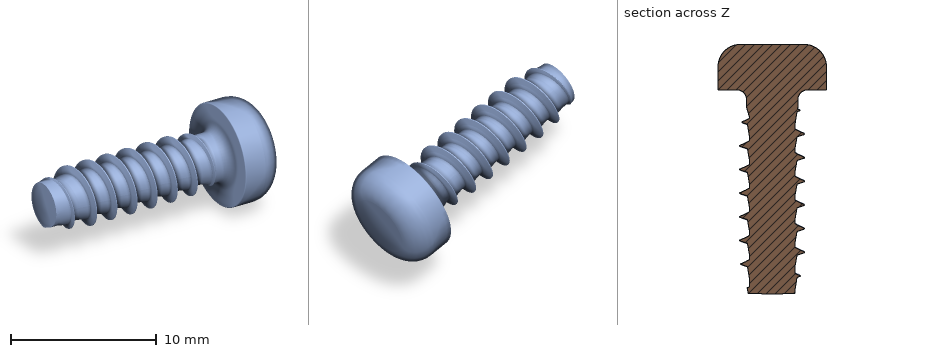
import cadquery as cq
import math


head_radius = 3.75
head_height = 3.16
dome_radius = 1.56
rim_fillet = 0.07

total_length = 17.19
neck_radius = 1.79
neck_fillet = 0.62
neck_end = 1.15
core_radius = 1.58
core_start = 1.85
tip_cone_radius = 1.53
tip_cone_height = 0.05
tip_start = total_length - head_height - tip_cone_height

thread_start = 0.98
pitch = 11.38 / 7
crest_radius = 2.25
crest_half_width = 0.03
knee_radius = 1.85
ridge_half_width = 0.2
head_flank_foot = 0.36
ramp_radius = 1.72
ramp_end = 1.07
buried_radius = 1.38
radius_tolerance = 0.0002
start_crest_radius = 1.87
faded_crest_radius = ramp_radius + 0.02
full_depth_start = 1.25
full_depth_end = 6.6
faded_turn = 7.75
last_turn = 8.25
crest_stations = (
    [(0, start_crest_radius)]
    + [(full_depth_start / 2, (start_crest_radius + crest_radius) / 2)]
    + [(full_depth_start + turn, crest_radius) for turn in range(int(full_depth_end))]
    + [(full_depth_end, crest_radius)]
    + [(faded_turn, faded_crest_radius), (last_turn, faded_crest_radius)]
)


def make_head():
    blank = cq.Workplane("XY").circle(head_radius).extrude(-head_height)
    return blank.faces("<Z").edges().fillet(dome_radius).faces(">Z").edges().fillet(rim_fillet)


def make_core():
    """Neck with its underhead fillet, tapering into the cylindrical core."""
    neck_arc_middle = neck_fillet * (1 - math.sqrt(0.5))
    return (
        cq.Workplane("XZ")
        .moveTo(0, -head_height / 2)
        .lineTo(neck_radius + neck_fillet, -head_height / 2)
        .lineTo(neck_radius + neck_fillet, 0)
        .threePointArc(
            (neck_radius + neck_arc_middle, neck_arc_middle),
            (neck_radius, neck_fillet),
        )
        .lineTo(neck_radius, neck_end)
        .lineTo(core_radius, core_start)
        .lineTo(core_radius, tip_start)
        .lineTo(0, tip_start)
        .close()
        .revolve(360, (0, 0, 0), (0, 1, 0))
    )


def make_tip_cone():
    """Very flat point on the end of the core."""
    cone = cq.Solid.makeCone(tip_cone_radius, 0, tip_cone_height, cq.Vector(0, 0, tip_start))
    return cq.Workplane(cone)


def thread_section(turns, crest):
    """Corners (radius, height) of the thread's axial section, shrunk to a given crest radius."""
    middle = thread_start + turns * pitch
    scale = (crest - core_radius) / (crest_radius - core_radius)
    knee = core_radius + (knee_radius - core_radius) * scale
    return [
        (buried_radius, middle - head_flank_foot),
        (core_radius - 0.02, middle - head_flank_foot * scale),
        (knee, middle - ridge_half_width * scale),
        (crest, middle - crest_half_width * scale),
        (crest, middle + crest_half_width * scale),
        (ramp_radius, middle + ridge_half_width * scale),
        (core_radius - 0.02, middle + ramp_end),
        (buried_radius, middle + ramp_end),
    ]


def corner_helix(start, end, first_turn, last_turn):
    """Helix between two section corners; conical where the radius changes."""
    growth = end[0] - start[0]
    rise = end[1] - start[1]
    turns = last_turn - first_turn
    if abs(growth) < radius_tolerance:
        helix = cq.Wire.makeHelix(rise / turns, rise, start[0])
    else:
        slant = math.hypot(growth, rise)
        taper = math.degrees(math.atan2(growth, rise))
        helix = cq.Wire.makeHelix(slant / turns, slant, start[0], angle=taper)
    turned = helix.rotate(cq.Vector(0, 0, 0), cq.Vector(0, 0, 1), 360 * first_turn)
    return turned.translate(cq.Vector(0, 0, start[1])).Edges()[0]


def end_cap(section, turns):
    angle = 2 * math.pi * turns
    corners = [cq.Vector(r * math.cos(angle), r * math.sin(angle), z) for r, z in section]
    return cq.Face.makeFromWires(cq.Wire.makePolygon(corners, close=True))


def make_thread():
    sections = [thread_section(*station) for station in crest_stations]
    turns = [station[0] for station in crest_stations]
    faces = [end_cap(sections[0], turns[0]), end_cap(sections[-1], turns[-1])]
    for i in range(len(sections) - 1):
        helices = [
            corner_helix(start, end, turns[i], turns[i + 1])
            for start, end in zip(sections[i], sections[i + 1])
        ]
        for helix, neighbour in zip(helices, helices[1:] + helices[:1]):
            faces.append(cq.Face.makeRuledSurface(helix, neighbour))
    thread = cq.Workplane(cq.Solid.makeSolid(cq.Shell.makeShell(faces)))
    return thread.rotate((0, 0, 0), (0, 0, 1), -90)


def make_beyond_tip():
    """Everything past the flat end, where the thread is cut off."""
    return (
        cq.Workplane("XY", origin=(0, 0, tip_start)).circle(head_radius).extrude(2 * pitch)
    )


shank = make_core().union(make_thread()).cut(make_beyond_tip())
screw = make_head().union(shank).union(make_tip_cone())
result = screw.rotate((0, 0, 0), (1, 0, 0), 90)